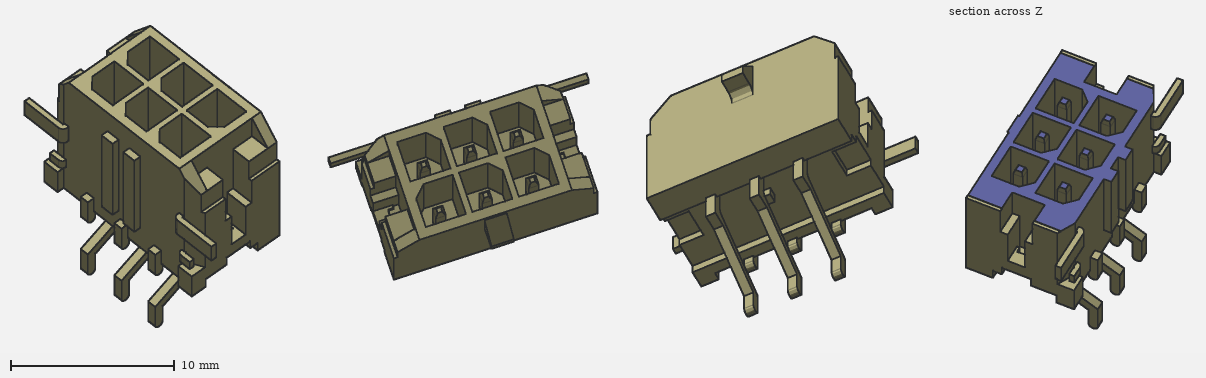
import cadquery as cq


OVERALL_WIDTH = 16.65
OVERALL_DEPTH = 8.77
OVERALL_HEIGHT = 15.4

HEIGHT = 9.89
DEPTH = 6.89
CORE_HALF = 4.92
COLUMN_HALF = 6.33
BASE_HALF = 6.57
BASE_TOP = 6.7
COLUMN_TOP = 8.25
FRONT_GUSSET = 1.02
BACK_GUSSET = 0.76
FRONT_REACH = 0.51

CORNER_INNER_X = 5.37
CORNER_DEPTH = 0.63
FOOT_TOP = 1.81

UNDERSIDE_Z = 0.68
UNDERSIDE_FRONT = 0.69
UNDERSIDE_BACK = 5.05
NOTCH_TOP = 1.3

SIDE_CENTER_Y = 3.44
SLOT_WIDTH = 2.2
SLOT_STEP_Z = 4.72
SLOT_LOWER_WIDTH = 1.18
SLOT_FLOOR_Z = 2.21
NOTCH_WIDTH = 1.99
SLOT_POCKET_DEPTH = 0.4
SLOT_POCKET_WIDTH = 0.8
SLOT_POCKET_X = 5.66
SLOT_POCKET_STEP_X = 5.3

PITCH = 3.0
COLUMNS = (-1, 0, 1)
FRONT_ROW_Y = 1.96
BACK_ROW_Y = FRONT_ROW_Y + PITCH
CAVITY = 2.59
CAVITY_CORNER = 0.72
CAVITY_FLOOR_Z = 2.2
PIN = 0.64
PIN_TIP = 0.3
PIN_TAPER = 0.6
PIN_TOP_Z = 7.0

LEAD_TIP_RADIUS = 0.3
FRONT_LEAD_TOP = 1.2
FRONT_LEAD_BOTTOM = -0.8
BACK_LEAD_BOTTOM = HEIGHT - OVERALL_HEIGHT
BACK_LEAD_KNEE_Z = -1.98
BACK_LEAD_KNEE_Y = 4.2
BACK_LEAD_INNER_Z = -1.08
BACK_LEAD_ANKLE_TOP = -3.52
BACK_LEAD_ANKLE_BOTTOM = -3.93
BEND_RADIUS = 0.4

RIB_X = 0.97
RIB_WIDTH = 0.98

LATCH_WIDTH = 1.44
LATCH_BACK = OVERALL_DEPTH - FRONT_REACH
LATCH_TOP = 9.36
LATCH_NOSE_TOP = 7.68
LATCH_NOSE_BOTTOM = 6.93
LATCH_ROOT_RADIUS = 0.53

LARGE_TAB = (4.92, OVERALL_WIDTH / 2, -FRONT_REACH, 0.4, 4.64, 5.9)
SMALL_TAB = (5.13, 6.23, -0.36, 0.36, 2.1, 2.74)
TAB_BEND_RATIO = 0.95
TAB_ROOT = 0.05


def box(x0, x1, y0, y1, z0, z1):
    """Box between two opposite corners."""
    return cq.Workplane("XY").box(x1 - x0, y1 - y0, z1 - z0, centered=False).translate((x0, y0, z0))


def side_profile(outline, center_x, width):
    """Solid of the given width from a (y, z) workplane outline, centred on center_x."""
    return outline.extrude(width / 2, both=True).translate((center_x, 0, 0))


def both_sides(shape):
    """A shape together with its mirror image across x = 0."""
    return shape.union(shape.mirror("YZ"))


def make_housing():
    """Outer block with shouldered, sloped sides and chamfered front corners."""
    half = [
        (0, 0),
        (BASE_HALF, 0),
        (BASE_HALF, BASE_TOP),
        (COLUMN_HALF, BASE_TOP),
        (COLUMN_HALF, COLUMN_TOP),
        (CORE_HALF, HEIGHT),
        (0, HEIGHT),
    ]
    half_body = cq.Workplane("XZ").polyline(half).close().extrude(-DEPTH)
    corner = (
        cq.Workplane("XY", origin=(0, 0, FOOT_TOP))
        .polyline([(CORNER_INNER_X, 0), (BASE_HALF, 0), (BASE_HALF, CORNER_DEPTH)])
        .close()
        .extrude(HEIGHT)
    )
    foot = box(CORNER_INNER_X, BASE_HALF, -FRONT_REACH, UNDERSIDE_FRONT, 0, FOOT_TOP)
    return both_sides(half_body.cut(corner).union(foot))


def make_side_cuts():
    """Gap between gussets, stepped slot with floor pocket, and bottom notch on both sides."""
    def centered_cut(inner_x, outer_x, width, bottom, top):
        return box(inner_x, outer_x, SIDE_CENTER_Y - width / 2, SIDE_CENTER_Y + width / 2, bottom, top)

    pocket_z = SLOT_FLOOR_Z - SLOT_POCKET_DEPTH
    gap = box(CORE_HALF, BASE_HALF, FRONT_GUSSET, DEPTH - BACK_GUSSET, COLUMN_TOP, HEIGHT)
    upper_slot = centered_cut(CORE_HALF, BASE_HALF, SLOT_WIDTH, SLOT_STEP_Z, HEIGHT)
    lower_slot = centered_cut(CORE_HALF, BASE_HALF, SLOT_LOWER_WIDTH, SLOT_FLOOR_Z, SLOT_STEP_Z)
    narrow_pocket = centered_cut(CORE_HALF, SLOT_POCKET_X, SLOT_POCKET_WIDTH, pocket_z, SLOT_FLOOR_Z)
    wide_pocket = centered_cut(CORE_HALF, SLOT_POCKET_STEP_X, SLOT_LOWER_WIDTH, pocket_z, SLOT_FLOOR_Z)
    notch = centered_cut(CORE_HALF, BASE_HALF, NOTCH_WIDTH, 0, NOTCH_TOP)
    cuts = gap.union(upper_slot).union(lower_slot).union(narrow_pocket).union(wide_pocket).union(notch)
    return both_sides(cuts)


def make_underside_channel():
    """Channel across the underside, leaving one square peg standing in the middle."""
    channel = box(-BASE_HALF, BASE_HALF, UNDERSIDE_FRONT, UNDERSIDE_BACK, 0, UNDERSIDE_Z)
    peg = box(-PIN / 2, PIN / 2, SIDE_CENTER_Y - PIN / 2, SIDE_CENTER_Y + PIN / 2, 0, UNDERSIDE_Z)
    return channel.cut(peg)


def make_cavity(x, y, corner_side):
    """Square contact cavity with one bevelled front corner, on the -x or +x side."""
    half = CAVITY / 2
    cavity = box(x - half, x + half, y - half, y + half, CAVITY_FLOOR_Z, HEIGHT)
    beveled_edge = cavity.faces("<Y").edges("|Z").edges("<X" if corner_side < 0 else ">X")
    return beveled_edge.chamfer(CAVITY_CORNER)


def make_pin(x, y):
    """Square contact pin with a tapered tip, rooted in the housing floor."""
    shaft_top = PIN_TOP_Z - PIN_TAPER
    half = PIN / 2
    shaft = box(x - half, x + half, y - half, y + half, NOTCH_TOP, shaft_top)
    tip = (
        cq.Workplane("XY", origin=(x, y, shaft_top))
        .rect(PIN, PIN)
        .workplane(offset=PIN_TAPER)
        .rect(PIN_TIP, PIN_TIP)
        .loft()
    )
    return shaft.union(tip)


def make_front_lead(x):
    """Straight lead standing proud of the front wall."""
    half = PIN / 2
    lead = box(x - half, x + half, -FRONT_REACH, PIN - FRONT_REACH, FRONT_LEAD_BOTTOM, FRONT_LEAD_TOP)
    return lead.faces("<Z").edges("|X").fillet(LEAD_TIP_RADIUS)


def make_back_lead(x):
    """Lead that drops from the back row, slopes to the front and turns down again."""
    inner_y = BACK_ROW_Y - PIN / 2
    outer_y = BACK_ROW_Y + PIN / 2
    toe_front = -FRONT_REACH
    toe_back = PIN - FRONT_REACH
    outline = cq.Workplane("YZ").polyline([
        (outer_y, CAVITY_FLOOR_Z),
        (outer_y, BACK_LEAD_KNEE_Z),
        (BACK_LEAD_KNEE_Y, BACK_LEAD_KNEE_Z),
        (toe_back, BACK_LEAD_ANKLE_BOTTOM),
        (toe_back, BACK_LEAD_BOTTOM),
        (toe_front, BACK_LEAD_BOTTOM),
        (toe_front, BACK_LEAD_ANKLE_TOP),
        (inner_y, BACK_LEAD_INNER_Z),
        (inner_y, CAVITY_FLOOR_Z),
    ]).close()
    lead = side_profile(outline, x, PIN)
    lead = lead.faces("<Z").edges("|X").fillet(LEAD_TIP_RADIUS)
    inner_corner = cq.selectors.NearestToPointSelector((x, inner_y, BACK_LEAD_INNER_Z))
    return lead.edges("|X").edges(inner_corner).fillet(BEND_RADIUS)


def make_front_rib(x):
    """Upright rib on the front wall."""
    return box(x - RIB_WIDTH / 2, x + RIB_WIDTH / 2, -FRONT_REACH, 0, FOOT_TOP, COLUMN_TOP)


def make_latch():
    """Ramp latch on the back wall with a rounded root beneath it."""
    root_y = DEPTH + LATCH_ROOT_RADIUS
    root_z = LATCH_NOSE_BOTTOM - LATCH_ROOT_RADIUS
    outline = (
        cq.Workplane("YZ")
        .moveTo(DEPTH, LATCH_TOP)
        .lineTo(LATCH_BACK, LATCH_NOSE_TOP)
        .lineTo(LATCH_BACK, LATCH_NOSE_BOTTOM)
        .lineTo(root_y, LATCH_NOSE_BOTTOM)
        .radiusArc((DEPTH, root_z), -LATCH_ROOT_RADIUS)
        .close()
    )
    return side_profile(outline, 0, LATCH_WIDTH)


def make_tab_pair(inner_x, outer_x, front_y, thickness, bottom, top):
    """Bent solder tabs: each leaves the front wall and turns outwards through a round corner."""
    tab = box(inner_x, outer_x, front_y, front_y + thickness, bottom, top)
    tab = tab.union(box(inner_x, inner_x + thickness, front_y, TAB_ROOT, bottom, top))
    bend = tab.faces("<Y").edges("|Z").edges("<X")
    return both_sides(bend.fillet(TAB_BEND_RATIO * thickness))


result = make_housing().cut(make_side_cuts()).cut(make_underside_channel())

for row_y in (FRONT_ROW_Y, BACK_ROW_Y):
    for column in COLUMNS:
        keyed = row_y == BACK_ROW_Y and column == COLUMNS[-1]
        result = result.cut(make_cavity(column * PITCH, row_y, 1 if keyed else -1))
        result = result.union(make_pin(column * PITCH, row_y))

for column in COLUMNS:
    result = result.union(make_front_lead(column * PITCH))
    result = result.union(make_back_lead(column * PITCH))

for rib_x in (-RIB_X, RIB_X):
    result = result.union(make_front_rib(rib_x))

result = result.union(make_latch())
result = result.union(make_tab_pair(*LARGE_TAB)).union(make_tab_pair(*SMALL_TAB))